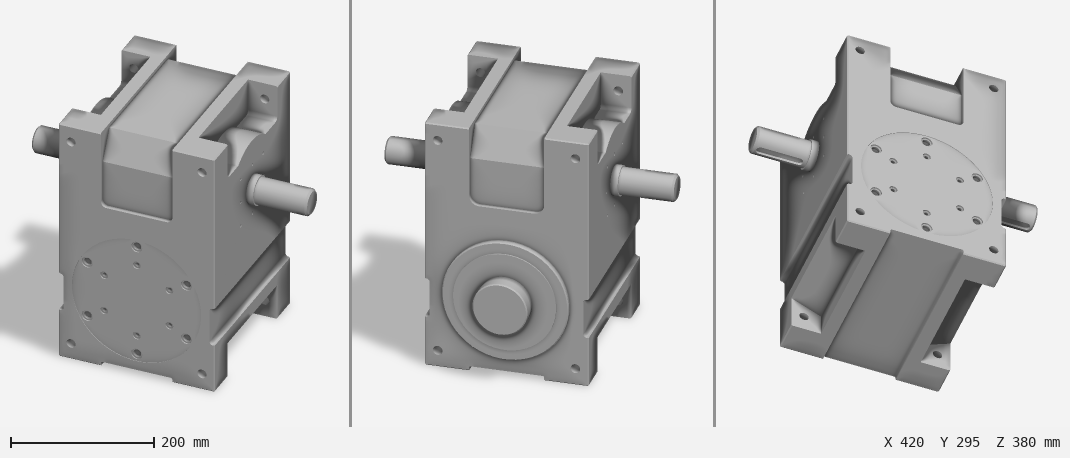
import cadquery as cq
import math

BODY_WIDTH = 238.0
BODY_DEPTH = 260.0
BODY_HEIGHT = 380.0
EDGE_CHAMFER = 1.5
HALF_W = BODY_WIDTH / 2
HALF_D = BODY_DEPTH / 2
HALF_H = BODY_HEIGHT / 2

AXIS_SPACING = 140.0
INPUT_Z = AXIS_SPACING / 2
OUTPUT_Z = -AXIS_SPACING / 2

CHANNEL_WIDTH = 109
CHANNEL_DEPTH = 7.0
CHANNEL_FLOOR_Z = INPUT_Z
FRONT_CHANNEL_RADIUS = 9.0
BACK_CHANNEL_RADIUS = 15.0
CROWN_RUN = 23.0
CROWN_DROP = 43.0
SOLE_RADIUS = 2.5

POCKET_DEPTH = 44.5
POCKET_LENGTH = 169.5
TOP_POCKET_HEIGHT = 55.5
TOP_POCKET_RADIUS = 6.0
BASE_POCKET_OUTER_HEIGHT = 55.5
BASE_POCKET_INNER_HEIGHT = 35.0

HUMP_Y = -2.0
HUMP_RADIUS = 80

MOUNT_HOLE_DIAMETER = 14.0
MOUNT_HOLE_X = 100.0
MOUNT_HOLE_Z = 164.5

GROOVE_DEPTH = 7.5
GROOVE_TOP_Z = -54.0
GROOVE_HEIGHT = 60.0
GROOVE_RADIUS = 5.0

SHAFT_TIP_X = 210
SHAFT_DIAMETER = 40.0
SHAFT_CHAMFER = 3.0
COLLAR_DIAMETER = 44.5
COLLAR_LENGTH = 11.0
KEY_WIDTH = 12.0
KEY_DEPTH = 5.0
KEY_LENGTH = 70.0
KEY_TIP_GAP = 5.0

FLANGE_DIAMETER = 184.0
FLANGE_LENGTH = 8.0
FLANGE_CHAMFER = 1.5
RING_DIAMETER = 149.5
RING_LENGTH = 2.0
STUB_DIAMETER = 80
STUB_REACH = 35.0
STUB_CHAMFER = 1.5

COVER_DIAMETER = 197.5
COVER_RECESS_DEPTH = 1.0

COVER_SCREWS = 6
COVER_START_ANGLE = 90
OUTER_CIRCLE_RADIUS = 87.5
OUTER_HEAD_DIAMETER = 17.0
OUTER_SOCKET_DIAMETER = 11.8
INNER_CIRCLE_RADIUS = 57.5
INNER_HEAD_DIAMETER = 11.8
INNER_SOCKET_DIAMETER = 6.0
HEAD_RECESS_DEPTH = 2.0
SOCKET_DEPTH = 6.5

CAP_SCREWS = 4
CAP_HOLE_DIAMETER = 4.5
CAP_HOLE_DEPTH = 4
SEAL_CIRCLE_RADIUS = 40.0
SEAL_START_ANGLE = 0
BEARING_CIRCLE_RADIUS = 53.8
BEARING_START_ANGLE = 45

SIDES = (-1, 1)


def box(x_size, y_size, z_size, center):
    return cq.Workplane("XY").box(x_size, y_size, z_size).translate(center)


def rod(diameter, start, end, axis):
    """Cylinder between two points that lie along the given axis."""
    length = math.dist(start, end)
    solid = cq.Solid.makeCylinder(diameter / 2, length, cq.Vector(*start), cq.Vector(*axis))
    return cq.Workplane(solid)


def circle_points(count, radius, start_angle):
    """Evenly spaced points on a circle about (0, 0)."""
    angles = [math.radians(start_angle + i * 360 / count) for i in range(count)]
    return [(radius * math.cos(a), radius * math.sin(a)) for a in angles]


def middle_channel():
    """Material removed around the middle block, on its top, front and back."""
    height = HALF_H - CHANNEL_FLOOR_Z
    center_z = CHANNEL_FLOOR_Z + height / 2
    front_half = box(CHANNEL_WIDTH, HALF_D, height, (0, -HALF_D / 2, center_z))
    front_half = front_half.edges("|Y and <Z").fillet(FRONT_CHANNEL_RADIUS)
    back_half = box(CHANNEL_WIDTH, HALF_D, height, (0, HALF_D / 2, center_z))
    back_half = back_half.edges("|Y and <Z").fillet(BACK_CHANNEL_RADIUS)

    wall_y = HALF_D - CHANNEL_DEPTH
    top_z = HALF_H - CHANNEL_DEPTH
    block = (
        cq.Workplane("YZ")
        .moveTo(-wall_y, CHANNEL_FLOOR_Z)
        .lineTo(-wall_y, top_z - CROWN_DROP)
        .lineTo(-wall_y + CROWN_RUN, top_z)
        .lineTo(wall_y - CROWN_RUN, top_z)
        .lineTo(wall_y, top_z - CROWN_DROP)
        .lineTo(wall_y, CHANNEL_FLOOR_Z)
        .close()
        .extrude(CHANNEL_WIDTH / 2, both=True)
    )
    return front_half.union(back_half).cut(block)


def sole_slot():
    slot = box(CHANNEL_WIDTH, BODY_DEPTH, CHANNEL_DEPTH, (0, 0, -HALF_H + CHANNEL_DEPTH / 2))
    return slot.edges("|Y and >Z").fillet(SOLE_RADIUS)


def top_pocket(side):
    """Pocket above one input shaft, with the bearing hump left on its floor."""
    center_x = side * (HALF_W - POCKET_DEPTH / 2)
    center_z = HALF_H - TOP_POCKET_HEIGHT / 2
    pocket = box(POCKET_DEPTH, POCKET_LENGTH, TOP_POCKET_HEIGHT, (center_x, 0, center_z))
    pocket = pocket.edges("|X and <Z").fillet(TOP_POCKET_RADIUS)
    hump_start = (center_x - POCKET_DEPTH / 2, HUMP_Y, INPUT_Z)
    hump_end = (center_x + POCKET_DEPTH / 2, HUMP_Y, INPUT_Z)
    return pocket.cut(rod(2 * HUMP_RADIUS, hump_start, hump_end, (1, 0, 0)))


def base_pocket(side):
    """Pocket under one side, with a ceiling that slopes down towards the inside."""
    outer_x = side * HALF_W
    inner_x = side * (HALF_W - POCKET_DEPTH)
    return (
        cq.Workplane("XZ")
        .moveTo(outer_x, -HALF_H)
        .lineTo(outer_x, -HALF_H + BASE_POCKET_OUTER_HEIGHT)
        .lineTo(inner_x, -HALF_H + BASE_POCKET_INNER_HEIGHT)
        .lineTo(inner_x, -HALF_H)
        .close()
        .extrude(POCKET_LENGTH / 2, both=True)
    )


def side_groove(side):
    center = (side * (HALF_W - GROOVE_DEPTH / 2), 0, GROOVE_TOP_Z - GROOVE_HEIGHT / 2)
    groove = box(GROOVE_DEPTH, BODY_DEPTH, GROOVE_HEIGHT, center)
    inner_face = "<X" if side > 0 else ">X"
    return groove.faces(inner_face).edges("|Y").fillet(GROOVE_RADIUS)


def housing():
    body = cq.Workplane("XY").box(BODY_WIDTH, BODY_DEPTH, BODY_HEIGHT).edges().chamfer(EDGE_CHAMFER)
    body = body.cut(middle_channel()).cut(sole_slot())
    for side in SIDES:
        body = body.cut(top_pocket(side)).cut(base_pocket(side)).cut(side_groove(side))
    for x_side in SIDES:
        for z_side in SIDES:
            x = x_side * MOUNT_HOLE_X
            z = z_side * MOUNT_HOLE_Z
            body = body.cut(rod(MOUNT_HOLE_DIAMETER, (x, -HALF_D, z), (x, HALF_D, z), (0, 1, 0)))
    return body


def cover_recess():
    start = (0, -HALF_D, OUTPUT_Z)
    end = (0, -HALF_D + COVER_RECESS_DEPTH, OUTPUT_Z)
    return rod(COVER_DIAMETER, start, end, (0, 1, 0))


def cover_screw_holes(circle_radius, head_diameter, socket_diameter):
    """Ring of stepped screw holes in the front cover, around the output axis."""
    holes = cq.Workplane("XY")
    cover_y = -HALF_D + COVER_RECESS_DEPTH
    for x, z_offset in circle_points(COVER_SCREWS, circle_radius, COVER_START_ANGLE):
        z = OUTPUT_Z + z_offset
        face_point = (x, cover_y, z)
        head = rod(head_diameter, face_point, (x, cover_y + HEAD_RECESS_DEPTH, z), (0, 1, 0))
        socket = rod(socket_diameter, face_point, (x, cover_y + SOCKET_DEPTH, z), (0, 1, 0))
        holes = holes.add(head.union(socket))
    return holes.combine()


def cap_screw_holes(side, circle_radius, start_angle, center_y):
    """Ring of small holes in one side face, around the input shaft."""
    holes = cq.Workplane("XY")
    outer_x = side * HALF_W
    inner_x = side * (HALF_W - CAP_HOLE_DEPTH)
    for y_offset, z_offset in circle_points(CAP_SCREWS, circle_radius, start_angle):
        y = center_y + y_offset
        z = INPUT_Z + z_offset
        holes = holes.add(rod(CAP_HOLE_DIAMETER, (outer_x, y, z), (inner_x, y, z), (-side, 0, 0)))
    return holes.combine()


def input_shaft(side):
    """One shaft end with its collar and a round-ended keyway underneath."""
    face = (side * HALF_W, 0, INPUT_Z)
    collar_end = (side * (HALF_W + COLLAR_LENGTH), 0, INPUT_Z)
    tip = (side * SHAFT_TIP_X, 0, INPUT_Z)
    outward = (side, 0, 0)
    tip_face = ">X" if side > 0 else "<X"

    shaft = rod(SHAFT_DIAMETER, face, tip, outward).faces(tip_face).chamfer(SHAFT_CHAMFER)
    key_x = side * (SHAFT_TIP_X - KEY_TIP_GAP - KEY_LENGTH / 2)
    key_bottom_z = INPUT_Z - SHAFT_DIAMETER / 2
    keyway = (
        cq.Workplane("XY", origin=(key_x, 0, key_bottom_z))
        .slot2D(KEY_LENGTH, KEY_WIDTH)
        .extrude(KEY_DEPTH)
    )
    return shaft.cut(keyway).union(rod(COLLAR_DIAMETER, face, collar_end, outward))


def output_flange():
    """Flange, raised ring and stub shaft, stacked outwards from the back face."""
    def disc(diameter, reach):
        return rod(diameter, (0, HALF_D, OUTPUT_Z), (0, HALF_D + reach, OUTPUT_Z), (0, 1, 0))

    flange = disc(FLANGE_DIAMETER, FLANGE_LENGTH).faces(">Y").chamfer(FLANGE_CHAMFER)
    ring = disc(RING_DIAMETER, FLANGE_LENGTH + RING_LENGTH)
    stub = disc(STUB_DIAMETER, STUB_REACH).faces(">Y").chamfer(STUB_CHAMFER)
    return flange.union(ring).union(stub)


result = housing().cut(cover_recess())
result = result.cut(cover_screw_holes(OUTER_CIRCLE_RADIUS, OUTER_HEAD_DIAMETER, OUTER_SOCKET_DIAMETER))
result = result.cut(cover_screw_holes(INNER_CIRCLE_RADIUS, INNER_HEAD_DIAMETER, INNER_SOCKET_DIAMETER))
for side in SIDES:
    result = result.cut(cap_screw_holes(side, SEAL_CIRCLE_RADIUS, SEAL_START_ANGLE, 0))
    result = result.cut(cap_screw_holes(side, BEARING_CIRCLE_RADIUS, BEARING_START_ANGLE, HUMP_Y))
    result = result.union(input_shaft(side))
result = result.union(output_flange())